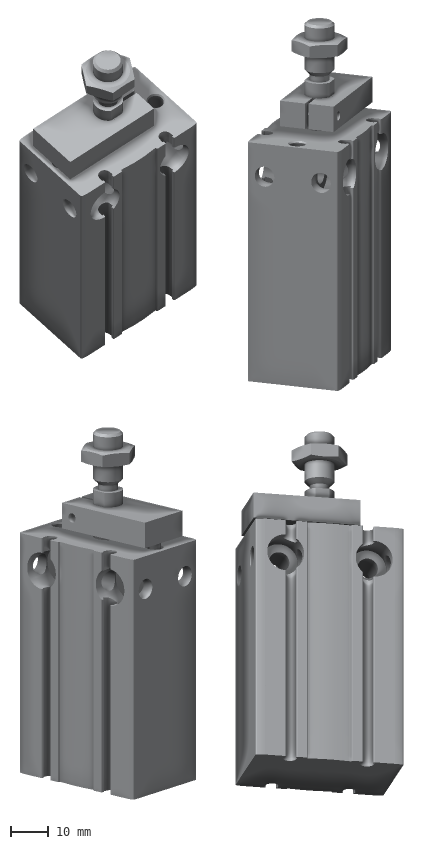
import cadquery as cq
import math

housing_height = 66.0
plate_bottom = 68.0
plate_top = 75.05
neck_bottom = 79.0
thread_bottom = 82.0
nut_bottom = 86.7
nut_height = 4.0
rod_top = 95.0

housing_width = 26.0
housing_depth = 40.0
half_width = housing_width / 2
half_depth = housing_depth / 2
corner_radius = 0.5
shoulder_y = 17.6
shoulder_radius = 9.0
recess_y = 6.2
recess_floor_y = 5.9
crown_y = 5.3
recess_depth = 0.52
crown_depth = 0.2

slot_y = 10.45
slot_mouth_width = 2.85
slot_width = 3.4
slot_lip_width = 3.7
slot_mouth_chamfer = 0.2
slot_lip = 0.9
slot_depth = 3.7

mount_hole_diameter = 5.5
mount_hole_height = 57.0
cross_hole_y = 12.0
cross_bore_diameter = 10.0
cross_bore_depth = 8.1
through_hole_x = 8.0
port_y = 16.5
port_diameter = 4.2
port_chamfer = 0.4
port_depth = 5.7
drill_point_angle = 118.0

rod_diameter = 8.0
rod_end_chamfer = 0.7
neck_diameter = 5.3
flats_width = 7.0

plate_width = 15.2
plate_front = -19.5
plate_back = 9.5
slit_width = 0.95
clamp_hole_diameter = 2.5
clamp_hole_y = 6.0
clamp_hole_depth = 11.4
guide_diameter = 3.0
guide_y = -16.4
guide_hole_diameter = 4.6
guide_hole_floor = 56.5

nut_across_flats = 13.0
nut_chamfer_diameter = 11.6
nut_chamfer_angle = 15.0


def upright_cylinder(diameter, bottom, top, y=0.0):
    """Vertical cylinder on the plane X = 0."""
    return cq.Workplane("XY", origin=(0, y, bottom)).circle(diameter / 2).extrude(top - bottom)


def turned(half_section):
    """Solid of revolution about Z from a list of (radius, height) points."""
    return cq.Workplane("XZ").polyline(half_section).close().revolve(360, (0, 0, 0), (0, 1, 0))


def housing_block():
    """Extruded section: rounded corners, rounded-off shoulders and a domed recess in each side."""
    corner_y = half_depth - corner_radius
    run = corner_y - shoulder_y
    corner_x = half_width - shoulder_radius + math.sqrt(shoulder_radius**2 - run**2)
    end_face_x = corner_x - corner_radius
    recess_x = half_width - recess_depth
    crown_x = half_width - crown_depth
    right_half = (
        cq.Workplane("XY")
        .moveTo(0, -half_depth)
        .lineTo(end_face_x, -half_depth)
        .radiusArc((corner_x, -corner_y), -corner_radius)
        .radiusArc((half_width, -shoulder_y), -shoulder_radius)
        .lineTo(half_width, -recess_y)
        .lineTo(recess_x, -recess_floor_y)
        .lineTo(recess_x, -crown_y)
        .threePointArc((crown_x, 0), (recess_x, crown_y))
        .lineTo(recess_x, recess_floor_y)
        .lineTo(half_width, recess_y)
        .lineTo(half_width, shoulder_y)
        .radiusArc((corner_x, corner_y), -shoulder_radius)
        .radiusArc((end_face_x, half_depth), -corner_radius)
        .lineTo(0, half_depth)
    )
    return right_half.mirrorY().extrude(housing_height)


def sensor_slot(side, y):
    """Round-bottomed slot with a narrower, chamfered mouth, running the full height."""
    mouth_x = side * half_width
    neck_x = side * (half_width - slot_mouth_chamfer)
    lip_x = side * (half_width - slot_lip)
    floor_x = side * (half_width - slot_depth)
    round_x = floor_x + side * slot_width / 2
    neck = slot_mouth_width / 2
    mouth = neck + slot_mouth_chamfer
    lip = slot_lip_width / 2
    half_slot = slot_width / 2
    return (
        cq.Workplane("XY")
        .moveTo(mouth_x, y - mouth)
        .lineTo(neck_x, y - neck)
        .lineTo(lip_x, y - neck)
        .lineTo(lip_x, y - lip)
        .lineTo(round_x, y - half_slot)
        .threePointArc((floor_x, y), (round_x, y + half_slot))
        .lineTo(lip_x, y + lip)
        .lineTo(lip_x, y + neck)
        .lineTo(neck_x, y + neck)
        .lineTo(mouth_x, y + mouth)
        .close()
        .extrude(housing_height)
    )


def cross_hole(y):
    """Mounting hole along X, counterbored from both sides."""
    start = cq.Workplane("YZ", origin=(-half_width, y, mount_hole_height))
    hole = start.circle(mount_hole_diameter / 2).extrude(housing_width)
    bore = start.circle(cross_bore_diameter / 2).extrude(cross_bore_depth)
    return hole.union(bore).union(bore.mirror("YZ"))


def through_hole(x):
    """Plain mounting hole along Y."""
    start = cq.Workplane("XZ", origin=(x, half_depth, mount_hole_height))
    return start.circle(mount_hole_diameter / 2).extrude(housing_depth)


def port():
    """Chamfered port in the top face, ending in a drill point."""
    radius = port_diameter / 2
    point = radius / math.tan(math.radians(drill_point_angle / 2))
    floor = housing_height - port_depth
    half_section = [
        (0, housing_height),
        (radius + port_chamfer, housing_height),
        (radius, housing_height - port_chamfer),
        (radius, floor),
        (0, floor - point),
    ]
    return turned(half_section).translate((0, port_y, 0))


def guide_hole():
    """Clearance hole for the guide rod."""
    return upright_cylinder(guide_hole_diameter, guide_hole_floor, housing_height, guide_y)


def make_housing():
    housing = housing_block().cut(port()).cut(guide_hole())
    for sign in (-1, 1):
        for side in (-1, 1):
            housing = housing.cut(sensor_slot(side, sign * slot_y))
        housing = housing.cut(cross_hole(sign * cross_hole_y))
        housing = housing.cut(through_hole(sign * through_hole_x))
    return housing


def make_piston_rod():
    """Turned rod standing on the housing, with two wrench flats above the plate."""
    radius = rod_diameter / 2
    neck_radius = neck_diameter / 2
    half_section = [
        (0, housing_height),
        (radius, housing_height),
        (radius, neck_bottom),
        (neck_radius, neck_bottom),
        (neck_radius, thread_bottom - (radius - neck_radius)),
        (radius, thread_bottom),
        (radius, rod_top - rod_end_chamfer),
        (radius - rod_end_chamfer, rod_top),
        (0, rod_top),
    ]
    rod = turned(half_section)
    flats_height = neck_bottom - plate_top
    for side in (-1, 1):
        flat = (
            cq.Workplane("XY", origin=(side * (flats_width + rod_diameter) / 2, 0, plate_top))
            .rect(rod_diameter, 2 * rod_diameter)
            .extrude(flats_height)
        )
        rod = rod.cut(flat)
    return rod


def make_guide_plate():
    """Clamp plate bored for the piston rod and slit at its back end."""
    plate = (
        cq.Workplane("XY", origin=(0, (plate_front + plate_back) / 2, plate_bottom))
        .rect(plate_width, plate_back - plate_front)
        .extrude(plate_top - plate_bottom)
    )
    slit = (
        cq.Workplane("XY", origin=(0, plate_back / 2, plate_bottom))
        .rect(slit_width, plate_back)
        .extrude(plate_top - plate_bottom)
    )
    clamp_hole = (
        cq.Workplane("YZ", origin=(-plate_width / 2, clamp_hole_y, (plate_bottom + plate_top) / 2))
        .circle(clamp_hole_diameter / 2)
        .extrude(clamp_hole_depth)
    )
    rod_bore = upright_cylinder(rod_diameter, plate_bottom, plate_top)
    return plate.cut(rod_bore).cut(slit).cut(clamp_hole)


def make_guide_rod():
    """Pin under the plate, standing on the floor of its clearance hole in the housing."""
    return upright_cylinder(guide_diameter, guide_hole_floor, plate_bottom, guide_y)


def make_nut():
    """Hexagon nut with corners towards +Y and -Y, chamfered on both faces."""
    nut_corner_radius = nut_across_flats / math.sqrt(3)
    chamfer_radius = nut_chamfer_diameter / 2
    chamfer_height = (nut_corner_radius - chamfer_radius) * math.tan(math.radians(nut_chamfer_angle))
    hexagon = (
        cq.Workplane("XY")
        .polygon(6, 2 * nut_corner_radius)
        .extrude(nut_height)
        .rotate((0, 0, 0), (0, 0, 1), 90)
    )
    half_section = [
        (rod_diameter / 2, 0),
        (chamfer_radius, 0),
        (nut_corner_radius, chamfer_height),
        (nut_corner_radius, nut_height - chamfer_height),
        (chamfer_radius, nut_height),
        (rod_diameter / 2, nut_height),
    ]
    ring = turned(half_section)
    return hexagon.intersect(ring).translate((0, 0, nut_bottom))


housing = make_housing()
piston_rod = make_piston_rod()
guide_plate = make_guide_plate()
guide_rod = make_guide_rod()
nut = make_nut()

result = cq.Compound.makeCompound(
    [housing.val(), piston_rod.val(), guide_plate.val(), guide_rod.val(), nut.val()]
)